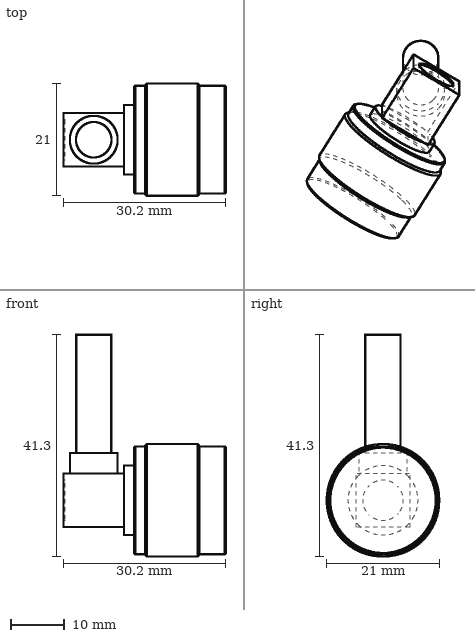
import cadquery as cq

total_length = 30.25
total_height = 41.3

block_side = 10.0
block_length = 11.27
recess_diameter = 7.5
recess_depth = 0.3

cable_diameter = 6.6
cable_axis_x = 5.65
collar_diameter = 8.92
collar_height = 3.85

flange_diameter = 12.95
flange_length = 1.9

nut_diameter = 20.1
nut_edge_chamfer = 0.25
band_diameter = 21.0
band_start = 15.15
band_end = 25.35
band_chamfer = (band_diameter - nut_diameter) / 2

nut_start = block_length + flange_length
block_top = block_side / 2
cable_top = total_height - band_diameter / 2


def x_cylinder(diameter, start, end):
    """Cylinder centred on the X axis between two X positions."""
    return cq.Workplane("YZ", origin=(start, 0, 0)).circle(diameter / 2).extrude(end - start)


def cable_cylinder(diameter, top):
    """Cylinder on the cable axis, rising from the block centre to a given height."""
    return cq.Workplane("XY", origin=(cable_axis_x, 0, 0)).circle(diameter / 2).extrude(top)


block = cq.Workplane("XY").box(block_length, block_side, block_side, centered=(False, True, True))
block = block.cut(x_cylinder(recess_diameter, 0, recess_depth))

collar = cable_cylinder(collar_diameter, block_top + collar_height)
cable = cable_cylinder(cable_diameter, cable_top)

flange = x_cylinder(flange_diameter, block_length, nut_start)
nut = x_cylinder(nut_diameter, nut_start, total_length).faces("<X or >X").chamfer(nut_edge_chamfer)
band = x_cylinder(band_diameter, band_start, band_end).faces("<X or >X").chamfer(band_chamfer)

result = block.union(collar).union(cable).union(flange).union(nut).union(band)